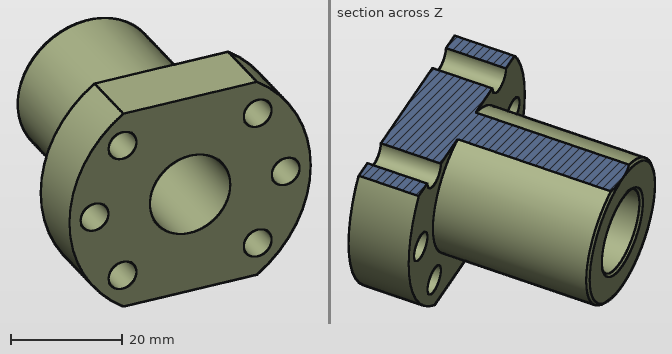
import cadquery as cq

total_length = 43.0
flange_diameter = 48.0
flange_height = 40.0
flange_thickness = 12.0
barrel_diameter = 28.0
bore_diameter = 16.0
edge_chamfer = 0.5

bolt_hole_diameter = 5.5
bolt_circle_diameter = 38.0
bolt_angles = [-45, 0, 45, 135, 180, 225]

barrel_length = total_length - flange_thickness


def make_barrel():
    """Round barrel with its free end chamfered."""
    barrel = cq.Workplane("YZ").circle(barrel_diameter / 2).extrude(barrel_length)
    return barrel.faces("<X").chamfer(edge_chamfer)


def make_flange():
    """Round flange with flats on its top and bottom, drilled for bolts."""
    flange_plane = cq.Workplane("YZ", origin=(barrel_length, 0, 0))
    disc = flange_plane.circle(flange_diameter / 2).extrude(flange_thickness)
    flats = flange_plane.rect(flange_diameter, flange_height).extrude(flange_thickness)
    flange = disc.intersect(flats)
    for angle in bolt_angles:
        hole = (
            flange_plane.transformed(rotate=(0, 0, angle))
            .center(bolt_circle_diameter / 2, 0)
            .circle(bolt_hole_diameter / 2)
            .extrude(flange_thickness)
        )
        flange = flange.cut(hole)
    return flange


def make_bore():
    """Through bore, flared by a chamfer at the barrel's free end."""
    bore_radius = bore_diameter / 2
    bore = cq.Workplane("YZ").circle(bore_radius).extrude(total_length)
    flare = cq.Solid.makeCone(
        bore_radius + edge_chamfer,
        bore_radius,
        edge_chamfer,
        pnt=cq.Vector(0, 0, 0),
        dir=cq.Vector(1, 0, 0),
    )
    return bore.union(cq.Workplane(obj=flare))


result = make_barrel().union(make_flange()).cut(make_bore())